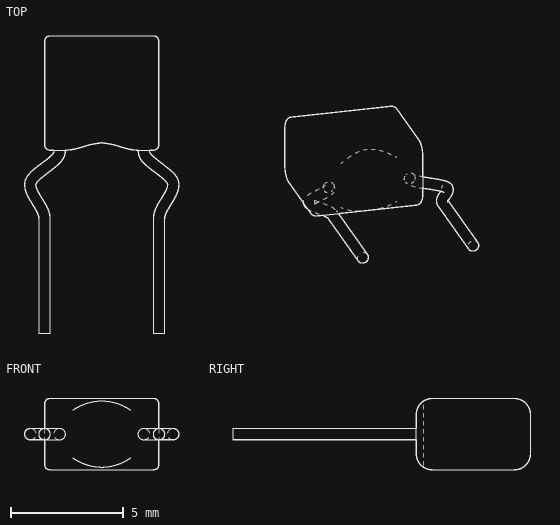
import cadquery as cq

CASE_WIDTH = 5.08
CASE_DEPTH = 5.08
CASE_HEIGHT = 3.18
LONG_EDGE_RADIUS = 0.73
SIDE_EDGE_RADIUS = 0.25

RECESS_HALF_WIDTH = 1.57
RECESS_DEPTH = 0.33

LEAD_DIAMETER = 0.51
LEAD_PITCH = 5.08
EXIT_PITCH = 3.74
OVERALL_WIDTH = 6.86
STUB_LENGTH = 0.06
OUTWARD_BEND_LENGTH = 1.45
INWARD_BEND_LENGTH = 1.52
TAIL_LENGTH = 5.10

EXIT_X = EXIT_PITCH / 2
BULGE_X = (OVERALL_WIDTH - LEAD_DIAMETER) / 2
TAIL_X = LEAD_PITCH / 2


def s_curve(start, end):
    """Bezier control points for an S-bend that starts and ends parallel to Y."""
    handle = (end[1] - start[1]) / 3
    return [
        start,
        (start[0], start[1] + handle),
        (end[0], end[1] - handle),
        end,
    ]


def bell_half(start, end):
    """Bezier control points for half of the recess, level along X at both ends."""
    handle = (end[0] - start[0]) / 3
    return [
        start,
        (start[0] + handle, start[1]),
        (end[0] - handle, end[1]),
        end,
    ]


def make_case():
    block = (
        cq.Workplane("XY")
        .box(CASE_WIDTH, CASE_DEPTH, CASE_HEIGHT)
        .translate((0, CASE_DEPTH / 2, 0))
        .edges("|X")
        .fillet(LONG_EDGE_RADIUS)
        .faces("<X or >X")
        .edges()
        .fillet(SIDE_EDGE_RADIUS)
    )
    crest = (0, RECESS_DEPTH)
    left = (-RECESS_HALF_WIDTH, 0)
    right = (RECESS_HALF_WIDTH, 0)
    recess = (
        cq.Workplane("XY")
        .workplane(offset=-CASE_HEIGHT / 2)
        .moveTo(*left)
        .bezier(bell_half(left, crest))
        .bezier(bell_half(crest, right))
        .close()
        .extrude(CASE_HEIGHT)
    )
    return block.cut(recess)


def make_lead(side):
    """One lead; side is -1 for the left lead and +1 for the right lead."""
    bend_start = (side * EXIT_X, -STUB_LENGTH)
    bulge = (side * BULGE_X, bend_start[1] - OUTWARD_BEND_LENGTH)
    bend_end = (side * TAIL_X, bulge[1] - INWARD_BEND_LENGTH)
    path = (
        cq.Workplane("XY")
        .moveTo(side * EXIT_X, 0)
        .lineTo(*bend_start)
        .bezier(s_curve(bend_start, bulge))
        .bezier(s_curve(bulge, bend_end))
        .lineTo(bend_end[0], bend_end[1] - TAIL_LENGTH)
    )
    return (
        cq.Workplane("XZ", origin=(side * EXIT_X, 0, 0))
        .circle(LEAD_DIAMETER / 2)
        .sweep(path)
    )


case = make_case()
leads = [make_lead(side) for side in (-1, 1)]

result = cq.Compound.makeCompound([case.val(), *[lead.val() for lead in leads]])